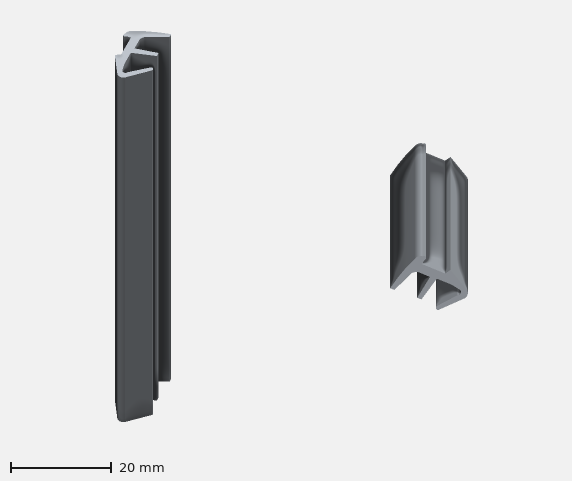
import cadquery as cq

length = 100.0
height = 14.7

web_outer_x = 1.7
web_inner_x = 3.5
web_lower_inner_x = 3.3

upper_tip_x = 8.7
upper_tip_thickness = 0.9
upper_crown = (4.5, 13.7)
upper_root = (4.1, 11.9)
upper_root_mid = (3.8, 11.5)
upper_root_bottom_y = 11.0
shoulder_end = (1.2, 12.5)
shoulder_mid = (0.7, 12.2)
shoulder_start = (0.3, 11.7)
bead_top = (0.2, 11.3)
bead_side = (0.0, 10.9)
bead_corner = (0.1, 10.6)
bead_bottom = (0.5, 10.5)
bead_end = (1.0, 10.7)

middle_tip_x = 8.4
middle_tip_top_y = 9.0
middle_tip_thickness = 0.9
middle_root_top_y = 8.3
middle_root_bottom_y = 6.9

valley_taper_y = 3.7
valley_start = (3.6, 1.9)
valley_bottom = (4.1, 1.4)
valley_end = (4.8, 1.8)
lip_upper_end = (8.5, 4.8)
lip_tip = (9.1, 4.5)
lip_lower_end = (8.9, 4.0)
nose_start = (5.0, 0.4)
nose_bottom = (4.1, 0.0)
nose_end = (3.0, 0.7)

barb_tip = (0.6, 5.1)
barb_root_y = 5.8

profile = (
    cq.Workplane("XY")
    .moveTo(*shoulder_end)
    .threePointArc(upper_crown, (upper_tip_x, height))
    .lineTo(upper_tip_x, height - upper_tip_thickness)
    .lineTo(*upper_root)
    .threePointArc(upper_root_mid, (web_inner_x, upper_root_bottom_y))
    .lineTo(web_inner_x, middle_root_top_y)
    .lineTo(middle_tip_x, middle_tip_top_y)
    .lineTo(middle_tip_x, middle_tip_top_y - middle_tip_thickness)
    .lineTo(web_lower_inner_x, middle_root_bottom_y)
    .lineTo(web_lower_inner_x, valley_taper_y)
    .lineTo(*valley_start)
    .threePointArc(valley_bottom, valley_end)
    .lineTo(*lip_upper_end)
    .threePointArc(lip_tip, lip_lower_end)
    .lineTo(*nose_start)
    .threePointArc(nose_bottom, nose_end)
    .lineTo(*barb_tip)
    .lineTo(web_outer_x, barb_root_y)
    .lineTo(web_outer_x, bead_end[1])
    .lineTo(*bead_end)
    .lineTo(*bead_bottom)
    .threePointArc(bead_corner, bead_side)
    .lineTo(*bead_top)
    .lineTo(*shoulder_start)
    .threePointArc(shoulder_mid, shoulder_end)
    .close()
)

result = profile.extrude(length)